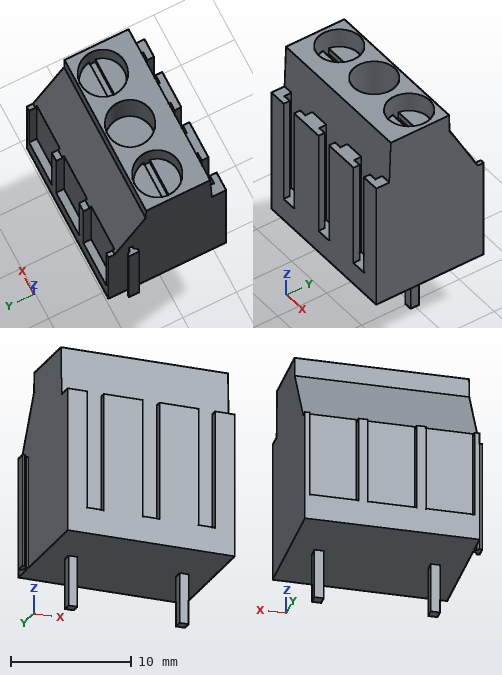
import cadquery as cq


POLE_COUNT = 3
POLE_PITCH = 5.0
POLE_XS = [(i - (POLE_COUNT - 1) / 2) * POLE_PITCH for i in range(POLE_COUNT)]
FITTED_POLE_XS = [POLE_XS[0], POLE_XS[-1]]

HOUSING_LENGTH = 15.0
HOUSING_DEPTH = 11.0
PIN_LENGTH = 4.5
TOTAL_HEIGHT = 21.62
HOUSING_HEIGHT = TOTAL_HEIGHT - PIN_LENGTH
FRONT_Y = -HOUSING_DEPTH / 2
BACK_Y = HOUSING_DEPTH / 2
FRONT_STEP_HEIGHT = 12.82
FRONT_STEP_DEPTH = 1.35
TOP_FRONT_INSET = 1.5
BACK_LEDGE_HEIGHT = 10.1
BACK_LEDGE_DEPTH = 0.58
KNEE_HEIGHT = 15.4
KNEE_INSET = 3.48
TOP_BACK_INSET = 3.52

WELL_DIAMETER = 4.2
WELL_DEPTH = 4.0
WELL_FLOOR_Z = HOUSING_HEIGHT - WELL_DEPTH
WELL_Y = FRONT_Y + 5.17

SLOT_FLOOR_HEIGHT = 2.31
SLOT_MOUTH_WIDTH = 1.5
SLOT_MOUTH_DEPTH = 0.63
SLOT_INNER_WIDTH = 3.0
POCKET_WIDTH = 4.2
POCKET_DEPTH = 0.74
POCKET_FLOOR_HEIGHT = SLOT_FLOOR_HEIGHT

RAIL_HEIGHT = 10.0
RAIL_PROJECTION = 0.65
RAIL_HEAD_WIDTH = 0.97
RAIL_NECK_WIDTH = 0.37
RAIL_Y = BACK_Y - 2.08

SCREW_DIAMETER = 3.93
SCREW_TOP_DEPTH = 1.8
SCREW_HEIGHT = WELL_DEPTH - SCREW_TOP_DEPTH
SCREW_SLOT_WIDTH = 0.58
SCREW_SLOT_DEPTH = 0.6

PIN_WIDTH = 0.8
PIN_THICKNESS = 0.86
PIN_Y = FRONT_Y + 5.47


def upright_box(width, y_from, y_to, z_from, z_to, x):
    """Box centred on x that spans the given Y and Z ranges."""
    return (
        cq.Workplane("XY", origin=(x, (y_from + y_to) / 2, z_from))
        .box(width, y_to - y_from, z_to - z_from, centered=(True, True, False))
    )


def housing_block():
    """Side outline, drawn in the YZ plane and extruded along the row of poles."""
    outline = [
        (FRONT_Y, 0),
        (FRONT_Y, FRONT_STEP_HEIGHT),
        (FRONT_Y + FRONT_STEP_DEPTH, FRONT_STEP_HEIGHT),
        (FRONT_Y + TOP_FRONT_INSET, HOUSING_HEIGHT),
        (BACK_Y - TOP_BACK_INSET, HOUSING_HEIGHT),
        (BACK_Y - KNEE_INSET, KNEE_HEIGHT),
        (BACK_Y - BACK_LEDGE_DEPTH, BACK_LEDGE_HEIGHT),
        (BACK_Y, BACK_LEDGE_HEIGHT),
        (BACK_Y, 0),
    ]
    return cq.Workplane("YZ").polyline(outline).close().extrude(HOUSING_LENGTH / 2, both=True)


def dovetail_rail():
    """Rail with a narrow neck at the housing, a flare and a wide outer head."""
    end_x = -HOUSING_LENGTH / 2
    outer_x = end_x - RAIL_PROJECTION
    flare_start_x = end_x - RAIL_PROJECTION / 3
    flare_end_x = end_x - RAIL_PROJECTION * 2 / 3
    half_neck = RAIL_NECK_WIDTH / 2
    half_head = RAIL_HEAD_WIDTH / 2
    profile = [
        (end_x, RAIL_Y - half_neck),
        (flare_start_x, RAIL_Y - half_neck),
        (flare_end_x, RAIL_Y - half_head),
        (outer_x, RAIL_Y - half_head),
        (outer_x, RAIL_Y + half_head),
        (flare_end_x, RAIL_Y + half_head),
        (flare_start_x, RAIL_Y + half_neck),
        (end_x, RAIL_Y + half_neck),
    ]
    return cq.Workplane("XY").polyline(profile).close().extrude(RAIL_HEIGHT)


def screw_well(x):
    """Round blind hole sunk from the top face."""
    floor = cq.Workplane("XY", origin=(x, WELL_Y, WELL_FLOOR_Z))
    return floor.circle(WELL_DIAMETER / 2).extrude(WELL_DEPTH)


def front_t_slot(x):
    """T-slot that opens at the front face and at the top of the front step."""
    neck_y = FRONT_Y + SLOT_MOUTH_DEPTH
    inner_y = FRONT_Y + FRONT_STEP_DEPTH
    mouth = upright_box(SLOT_MOUTH_WIDTH, FRONT_Y, neck_y, SLOT_FLOOR_HEIGHT, FRONT_STEP_HEIGHT, x)
    inner = upright_box(SLOT_INNER_WIDTH, neck_y, inner_y, SLOT_FLOOR_HEIGHT, FRONT_STEP_HEIGHT, x)
    return mouth.union(inner)


def back_pocket(x):
    """Shallow pocket in the back face that also opens upwards through the ledge and slope."""
    return upright_box(POCKET_WIDTH, BACK_Y - POCKET_DEPTH, BACK_Y, POCKET_FLOOR_HEIGHT, KNEE_HEIGHT, x)


def make_housing():
    body = housing_block().union(dovetail_rail())
    for x in POLE_XS:
        body = body.cut(screw_well(x)).cut(front_t_slot(x)).cut(back_pocket(x))
    return body


def make_screw(x):
    """Slotted screw head that stands on the floor of its well."""
    top_z = WELL_FLOOR_Z + SCREW_HEIGHT
    base = cq.Workplane("XY", origin=(x, WELL_Y, WELL_FLOOR_Z))
    head = base.circle(SCREW_DIAMETER / 2).extrude(SCREW_HEIGHT)
    half_slot = SCREW_SLOT_WIDTH / 2
    slot = upright_box(
        SCREW_DIAMETER, WELL_Y - half_slot, WELL_Y + half_slot, top_z - SCREW_SLOT_DEPTH, top_z, x
    )
    return head.cut(slot)


def make_pin(x):
    """Rectangular solder pin that hangs from the underside of the housing."""
    half_pin = PIN_THICKNESS / 2
    return upright_box(PIN_WIDTH, PIN_Y - half_pin, PIN_Y + half_pin, -PIN_LENGTH, 0, x)


housing = make_housing()
screws = [make_screw(x) for x in FITTED_POLE_XS]
pins = [make_pin(x) for x in FITTED_POLE_XS]

result = cq.Compound.makeCompound([
    housing.val(),
    *[screw.val() for screw in screws],
    *[pin.val() for pin in pins],
])